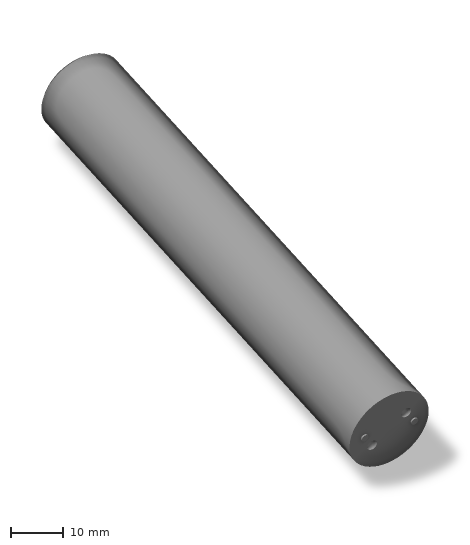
import cadquery as cq
import math

overall_length = 110.0
diameter = 18.0
chamfer = 0.9

stub_height = 0.3
stub_diameter = 1.5
stub_circle_diameter = 11.4

hole_diameter = 2.2
hole_circle_diameter = 9.0
helix_pitch = 99.0
hole_overrun = 1.1

pair_angle = -8.0
pair_angles = (pair_angle, pair_angle + 180)

rod_length = overall_length - stub_height
start_x = -overall_length / 2
end_x = start_x + rod_length


def rod():
    """Plain cylinder with its -X rim chamfered."""
    cylinder = cq.Workplane("YZ", origin=(start_x, 0, 0)).circle(diameter / 2).extrude(rod_length)
    return cylinder.faces("<X").chamfer(chamfer)


def coolant_hole(angle):
    """Helical bar about X that crosses the -X end face at the given angle."""
    radius = hole_circle_diameter / 2
    helix = cq.Wire.makeHelix(helix_pitch, rod_length + 2 * hole_overrun, radius)
    tangent = (0, 2 * math.pi * radius, helix_pitch)
    section_plane = cq.Plane(origin=(radius, 0, 0), xDir=(1, 0, 0), normal=tangent)
    bar = cq.Workplane(section_plane).circle(hole_diameter / 2)
    bar = bar.sweep(cq.Workplane(helix), isFrenet=True)
    overrun_twist = 360 * hole_overrun / helix_pitch
    bar = bar.rotate((0, 0, 0), (0, 0, 1), angle - overrun_twist)
    bar = bar.rotate((0, 0, 0), (1, 1, 1), 120)
    return bar.translate((start_x - hole_overrun, 0, 0))


def end_stub(angle):
    """Low round stub on the +X end face, sunk into the rod by its own height for a sound union."""
    y = stub_circle_diameter / 2 * math.cos(math.radians(angle))
    z = stub_circle_diameter / 2 * math.sin(math.radians(angle))
    base = cq.Workplane("YZ", origin=(end_x - stub_height, y, z))
    return base.circle(stub_diameter / 2).extrude(2 * stub_height)


result = rod()
for feature_angle in pair_angles:
    result = result.cut(coolant_hole(feature_angle))
    result = result.union(end_stub(feature_angle))